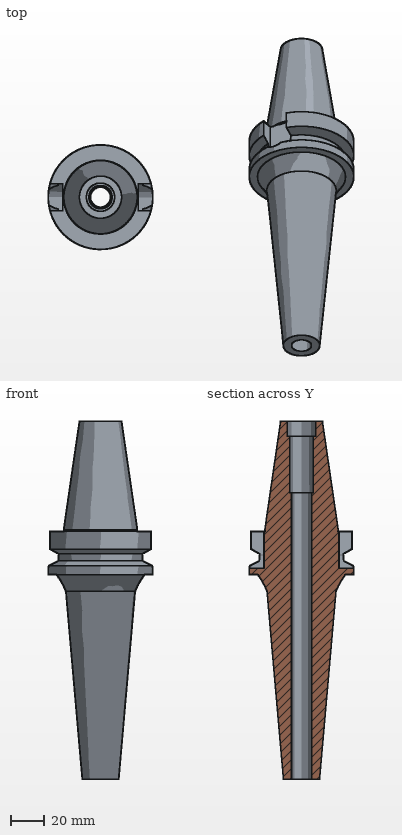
import cadquery as cq
import math

taper_length = 65.4
nose_length = 150.0

gauge_radius = 44.45 / 2
taper_ratio = 7 / 24
shank_tip_radius = gauge_radius - taper_length * taper_ratio / 2
neck_radius = 22.0

flange_radius = 63.0 / 2
flange_top = -1.0
flange_bottom = -27.0
groove_center = -16.6
groove_floor_radius = 53.0 / 2
groove_floor_width = 4.2
groove_flank_angle = 30.0

slot_width = 16.1
slot_floor_distance = 22.6
slot_arc_center = -15.0

collar_radius = 53.0 / 2
collar_height = 10.0
collar_sag = 0.4
nose_tip_radius = 22.0 / 2
nose_angle = 5.0

counterbore_radius = 17.0 / 2
counterbore_depth = 9.0
thread_bore_radius = 14.0 / 2
thread_bore_depth = 43.0
through_bore_radius = 12.0 / 2


def make_body():
    """Solid of revolution: shank, neck, grooved flange, collar and nose."""
    flank_height = (flange_radius - groove_floor_radius) * math.tan(math.radians(groove_flank_angle))
    floor_half = groove_floor_width / 2
    mouth_half = floor_half + flank_height

    collar_bottom = flange_bottom - collar_height
    nose_height = nose_length + collar_bottom
    nose_root_radius = nose_tip_radius + nose_height * math.tan(math.radians(nose_angle))

    collar_drop = collar_radius - nose_root_radius
    chord = math.hypot(collar_drop, collar_height)
    bow_radius = (collar_radius + nose_root_radius) / 2 - collar_sag * collar_height / chord
    bow_z = (flange_bottom + collar_bottom) / 2 + collar_sag * collar_drop / chord

    profile = (
        cq.Workplane("XZ")
        .moveTo(0, taper_length)
        .lineTo(shank_tip_radius, taper_length)
        .lineTo(gauge_radius, 0)
        .lineTo(neck_radius, flange_top)
        .lineTo(flange_radius, flange_top)
        .lineTo(flange_radius, groove_center + mouth_half)
        .lineTo(groove_floor_radius, groove_center + floor_half)
        .lineTo(groove_floor_radius, groove_center - floor_half)
        .lineTo(flange_radius, groove_center - mouth_half)
        .lineTo(flange_radius, flange_bottom)
        .lineTo(collar_radius, flange_bottom)
        .threePointArc((bow_radius, bow_z), (nose_root_radius, collar_bottom))
        .lineTo(nose_tip_radius, -nose_length)
        .lineTo(0, -nose_length)
        .close()
    )
    return profile.revolve(360, (0, 0, 0), (0, 1, 0))


def make_drive_slot(side):
    """Round-ended drive slot cutter on the +X (side = 1) or -X (side = -1) flank."""
    half_width = slot_width / 2
    return (
        cq.Workplane("YZ", origin=(side * slot_floor_distance, 0, 0))
        .moveTo(-half_width, flange_top)
        .lineTo(-half_width, slot_arc_center)
        .threePointArc((0, slot_arc_center - half_width), (half_width, slot_arc_center))
        .lineTo(half_width, flange_top)
        .close()
        .extrude(side * flange_radius)
    )


def make_bore():
    """Through bore widened at the shank end for the pull stud."""
    total_length = taper_length + nose_length
    shank_end = cq.Workplane("XY", origin=(0, 0, taper_length))
    through_bore = shank_end.circle(through_bore_radius).extrude(-total_length)
    thread_bore = shank_end.circle(thread_bore_radius).extrude(-thread_bore_depth)
    counterbore = shank_end.circle(counterbore_radius).extrude(-counterbore_depth)
    return through_bore.union(thread_bore).union(counterbore)


result = make_body()
for side in (-1, 1):
    result = result.cut(make_drive_slot(side))
result = result.cut(make_bore())